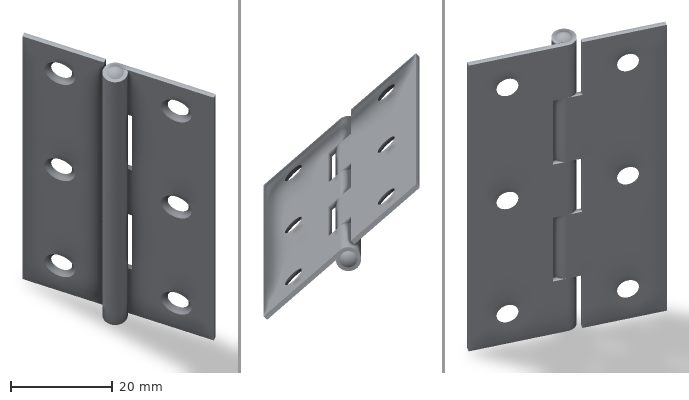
import cadquery as cq
import math

total_height = 77.5
total_width = 41.0
leaf_height = 76.2
sheet = 1.0

barrel_radius = 5.0 / 2
bore_radius = barrel_radius - sheet
middle_knuckle = 14.2
inner_knuckle = 17.0
notch_edge = 3.0
seam_gap = 0.1

hole_offset = 12.5
hole_pitch = 30.15
hole_radius = 2.25
countersink_radius = 3.25

head_height = (total_height - leaf_height) / 2
head_radius = 1.7

sheet_front = barrel_radius - sheet
inner_joint = middle_knuckle / 2
outer_joint = inner_joint + inner_knuckle
leaf_top = leaf_height / 2

right_knuckles = [
    (-leaf_top, -outer_joint),
    (-inner_joint, inner_joint),
    (outer_joint, leaf_top),
]
left_knuckles = [(-outer_joint, -inner_joint), (inner_joint, outer_joint)]


def knuckle(bottom, top):
    """Sheet running in from +X at the back and rolled once around the pin."""
    height = top - bottom
    level = cq.Workplane("XY").workplane(offset=bottom)
    barrel = level.circle(barrel_radius).extrude(height)
    strip = level.moveTo(0, sheet_front).lineTo(notch_edge, sheet_front)
    strip = strip.lineTo(notch_edge, barrel_radius).lineTo(0, barrel_radius).close().extrude(height)
    bore = level.circle(bore_radius).extrude(height)
    slit = level.center(barrel_radius / 2, sheet_front - seam_gap / 2)
    slit = slit.rect(barrel_radius, seam_gap).extrude(height)
    return barrel.cut(slit).union(strip).cut(bore)


def screw_hole(z):
    """Conical hole, widest on the front face of the sheet."""
    cone = cq.Solid.makeCone(
        countersink_radius, hole_radius, sheet,
        pnt=cq.Vector(hole_offset, sheet_front, z), dir=cq.Vector(0, 1, 0),
    )
    return cq.Workplane(cone)


def make_leaf(knuckle_ranges):
    """Leaf on the +X side of the pin."""
    leaf = cq.Workplane("XY").box(
        total_width / 2 - notch_edge, sheet, leaf_height, centered=(False, False, True)
    ).translate((notch_edge, sheet_front, 0))
    for bottom, top in knuckle_ranges:
        leaf = leaf.union(knuckle(bottom, top))
    for z in (-hole_pitch, 0, hole_pitch):
        leaf = leaf.cut(screw_hole(z))
    return leaf


def make_pin():
    """Shaft filling the bore, with a riveted domed head at each end."""
    pin_top = total_height / 2
    dome_radius = (head_radius**2 + head_height**2) / (2 * head_height)
    mid_radius = head_radius / 2
    mid_z = pin_top - dome_radius + math.sqrt(dome_radius**2 - mid_radius**2)
    profile = (
        cq.Workplane("XZ")
        .moveTo(0, -pin_top)
        .threePointArc((mid_radius, -mid_z), (head_radius, -leaf_top))
        .lineTo(bore_radius, -leaf_top)
        .lineTo(bore_radius, leaf_top)
        .lineTo(head_radius, leaf_top)
        .threePointArc((mid_radius, mid_z), (0, pin_top))
        .close()
    )
    return profile.revolve(360, (0, 0, 0), (0, 1, 0))


right_leaf = make_leaf(right_knuckles)
left_leaf = make_leaf(left_knuckles).mirror("YZ")
pin = make_pin()

result = cq.Compound.makeCompound([right_leaf.solids().val(), left_leaf.solids().val(), pin.val()])